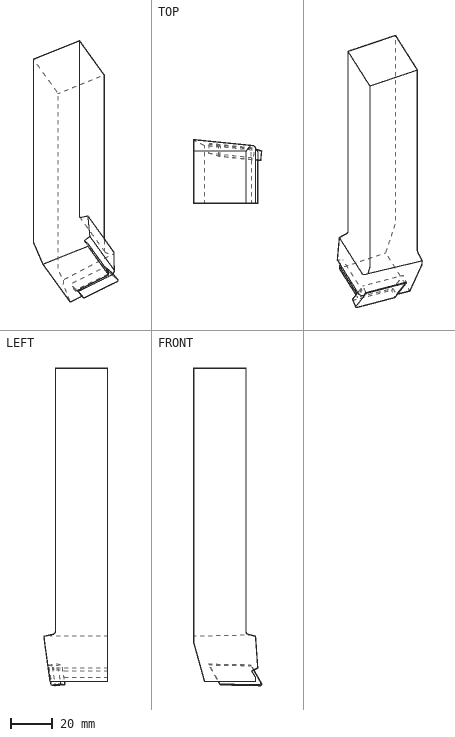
import cadquery as cq
import math

LENGTH = 151.4
SHANK = 25.0

HOLDER_BOTTOM = 2.0
SHOULDER_Z = 23.6
ROOT_Z = 24.8
ROOT_RADIUS = 1.2
HEAD_DEPTH = 30.4
SHOULDER_X = 29.5
HEAD_WIDTH = 30.5
HEAD_CORNER_Z = 8.5
BEVEL_X = 5.1
BEVEL_Z = 20.5
HEAD_CORNER_RADIUS = 1.5

NOTCH_X = 27.5
NOTCH_Z = 7.0
NOTCH_LOWER_X = 29.5
NOTCH_LOWER_Z = 4.0

FACE_SLOPE_X = 0.103
FACE_SLOPE_Z = 0.11

INSERT_LENGTH = 20.3
INSERT_HEIGHT = 9.5
INSERT_THICKNESS = 4.7
INSERT_ANGLE = 60.0
INSERT_EDGE_RISE = 0.38
INSERT_PROUD = 0.5
NOSE_RADIUS = 0.8
TIP_X = 33.0
TIP_Z = -0.03


def face_y(x, z):
    """Y of the tilted head face at a given X and Z."""
    return HEAD_DEPTH - FACE_SLOPE_X * x + FACE_SLOPE_Z * (z - SHOULDER_Z)


def face_plane(x, z, lift=0.0):
    """Plane parallel to the head face; its local x runs along +X and local y runs downward."""
    return cq.Plane(
        origin=(x, face_y(x, z) + lift, z),
        xDir=(1, -FACE_SLOPE_X, 0),
        normal=(FACE_SLOPE_X, 1, -FACE_SLOPE_Z),
    )


def make_blank():
    """Shank and head: the intersection of the XZ outline and the YZ outline."""
    front = (
        cq.Workplane("XZ")
        .polyline([
            (0, LENGTH),
            (0, BEVEL_Z),
            (BEVEL_X, HOLDER_BOTTOM),
            (HEAD_WIDTH, HOLDER_BOTTOM),
            (HEAD_WIDTH, HEAD_CORNER_Z),
            (SHOULDER_X, SHOULDER_Z),
            (SHANK, ROOT_Z),
            (SHANK, LENGTH),
        ])
        .close()
        .extrude(-HEAD_DEPTH)
    )
    side = (
        cq.Workplane("YZ")
        .polyline([
            (0, LENGTH),
            (0, HOLDER_BOTTOM),
            (HEAD_DEPTH, HOLDER_BOTTOM),
            (HEAD_DEPTH, SHOULDER_Z),
            (SHANK, ROOT_Z),
            (SHANK, LENGTH),
        ])
        .close()
        .extrude(HEAD_WIDTH)
    )
    front = front.edges(at_point(SHANK, HEAD_DEPTH / 2, ROOT_Z)).fillet(ROOT_RADIUS)
    side = side.edges(at_point(HEAD_WIDTH / 2, SHANK, ROOT_Z)).fillet(ROOT_RADIUS)
    return front.intersect(side)


def at_point(x, y, z):
    """Selector for the edge whose centre is nearest to a point."""
    return cq.selectors.NearestToPointSelector((x, y, z))


def make_holder(insert):
    beyond_face = cq.Workplane(face_plane(0, SHOULDER_Z)).rect(2 * LENGTH, 2 * LENGTH).extrude(LENGTH)
    body = make_blank().cut(beyond_face)

    side_x = (SHOULDER_X + HEAD_WIDTH) / 2
    side_z = (SHOULDER_Z + HEAD_CORNER_Z) / 2
    lower_z = (HOLDER_BOTTOM + HEAD_CORNER_Z) / 2
    body = (
        body.edges(at_point(side_x, face_y(side_x, side_z), side_z))
        .add(body.edges(at_point(HEAD_WIDTH, face_y(HEAD_WIDTH, lower_z), lower_z)))
        .fillet(HEAD_CORNER_RADIUS)
    )

    notch = (
        cq.Workplane("XZ")
        .polyline([
            (HEAD_WIDTH, HEAD_CORNER_Z),
            (NOTCH_X, NOTCH_Z),
            (NOTCH_LOWER_X, NOTCH_LOWER_Z),
            (NOTCH_LOWER_X, HOLDER_BOTTOM),
            (HEAD_WIDTH, HOLDER_BOTTOM),
        ])
        .close()
        .extrude(-HEAD_DEPTH)
    )
    return body.cut(notch).cut(insert)


def make_insert():
    """Parallelogram plate with its acute cutting corner at the lower +X end."""
    lean = INSERT_HEIGHT / math.tan(math.radians(INSERT_ANGLE))
    plate = (
        cq.Workplane(face_plane(TIP_X, TIP_Z, INSERT_PROUD))
        .polyline([
            (0, 0),
            (-INSERT_LENGTH, -INSERT_EDGE_RISE),
            (-INSERT_LENGTH - lean, -INSERT_EDGE_RISE - INSERT_HEIGHT),
            (-lean, -INSERT_HEIGHT),
        ])
        .close()
        .extrude(-INSERT_THICKNESS)
    )
    return plate.edges(at_point(TIP_X, face_y(TIP_X, TIP_Z), TIP_Z)).fillet(NOSE_RADIUS)


insert = make_insert()
holder = make_holder(insert)

result = cq.Compound.makeCompound([holder.solids().val(), insert.solids().val()])